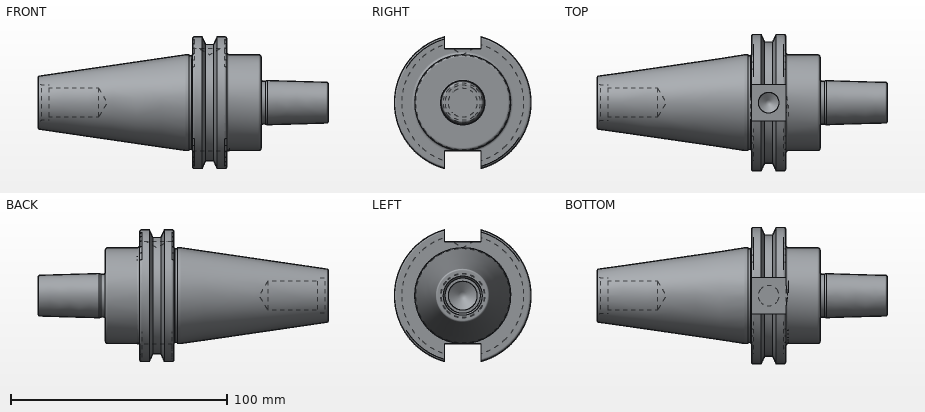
import cadquery as cq
import math


gauge_radius = 44.45 / 2
shank_length = 68.25
shank_taper = 7 / 24
shank_end_radius = gauge_radius - shank_length * shank_taper / 2
shank_end_round = 0.8

gauge_land_length = 1.6
relief_radius = 43.6 / 2
relief_round = 0.5

flange_radius = 63.37 / 2
flange_start = 3.18
flange_end = 19.05
flange_center = (flange_start + flange_end) / 2
flange_round = 1.0

groove_root_radius = 56.4 / 2
groove_root_width = 3.7
groove_mouth_width = 7.0

body_radius = gauge_radius
body_end = 35
body_fillet = 1.2
body_round = 1.2

overall_length = 134.29
nose_end = overall_length - shank_length
neck_radius = 20 / 2
neck_fillet = 0.7
neck_end = body_end + 1.9
nose_start = body_end + 2.8
nose_large_radius = 20.6 / 2
nose_small_radius = 18.95 / 2
nose_round = 0.9

slot_width = 16.75
slot_end = flange_end + body_fillet
upper_slot_floor = 25.0
lower_slot_floor = 22.3

drill_point_angle = 118
dimple_radius = 9.53 / 2
countersink_radius = 18.1 / 2
countersink_depth = 1.6
pilot_radius = 16.3 / 2
pilot_depth = 5
thread_hole_radius = 13.39 / 2
thread_hole_depth = 28


def drill_point_length(radius):
    """Axial length of the conical bottom left by a drill."""
    return radius / math.tan(math.radians(drill_point_angle / 2))


def revolve_about_x(profile):
    """Close an (X, radius) profile and turn it into a solid about the X axis."""
    return profile.close().revolve(360, (0, 0, 0), (1, 0, 0))


def make_body():
    profile = (
        cq.Workplane("XZ")
        .moveTo(-shank_length, 0)
        .lineTo(-shank_length, shank_end_radius)
        .lineTo(0, gauge_radius)
        .lineTo(gauge_land_length, gauge_radius)
        .lineTo(gauge_land_length, relief_radius)
        .lineTo(flange_start, relief_radius)
        .lineTo(flange_start, flange_radius)
        .lineTo(flange_center - groove_mouth_width / 2, flange_radius)
        .lineTo(flange_center - groove_root_width / 2, groove_root_radius)
        .lineTo(flange_center + groove_root_width / 2, groove_root_radius)
        .lineTo(flange_center + groove_mouth_width / 2, flange_radius)
        .lineTo(flange_end, flange_radius)
        .lineTo(flange_end, body_radius)
        .lineTo(body_end, body_radius)
        .lineTo(body_end, neck_radius)
        .lineTo(neck_end, neck_radius)
        .lineTo(nose_start, nose_large_radius)
        .lineTo(nose_end, nose_small_radius)
        .lineTo(nose_end, 0)
    )
    return revolve_about_x(profile)


def round_edge(solid, x, radius, size):
    """Fillet the circular edge of the given radius that lies at the given X."""
    tolerance = 0.01
    near_plane = cq.selectors.BoxSelector(
        (x - tolerance, -radius - tolerance, -radius - tolerance),
        (x + tolerance, radius + tolerance, radius + tolerance),
        boundingbox=True,
    )
    candidates = solid.edges(near_plane).edges("%CIRCLE")
    return candidates.edges(cq.selectors.RadiusNthSelector(-1)).fillet(size)


def make_draw_bolt_bore():
    mouth = -shank_length
    drill_end = mouth + thread_hole_depth
    profile = (
        cq.Workplane("XZ")
        .moveTo(mouth, 0)
        .lineTo(mouth, countersink_radius)
        .lineTo(mouth + countersink_depth, pilot_radius)
        .lineTo(mouth + pilot_depth, pilot_radius)
        .lineTo(mouth + pilot_depth, thread_hole_radius)
        .lineTo(drill_end, thread_hole_radius)
        .lineTo(drill_end + drill_point_length(thread_hole_radius), 0)
    )
    return revolve_about_x(profile)


def make_drive_slot(floor, side):
    """Slot across the flange and its front fillet; side is +1 for +Z and -1 for -Z."""
    height = flange_radius
    length = slot_end - flange_start
    slot = cq.Workplane("XY").box(length, slot_width, height)
    return slot.translate((flange_start + length / 2, 0, side * (floor + height / 2)))


def make_dimple():
    """Conical dimple in the floor of the upper slot."""
    tip = upper_slot_floor - drill_point_length(dimple_radius)
    profile = (
        cq.Workplane("XZ")
        .moveTo(0, upper_slot_floor)
        .lineTo(dimple_radius, upper_slot_floor)
        .lineTo(0, tip)
        .close()
    )
    return profile.revolve(360, (0, 0, 0), (0, 1, 0)).translate((flange_center, 0, 0))


rounded_edges = [
    (-shank_length, shank_end_radius, shank_end_round),
    (flange_start, relief_radius, relief_round),
    (flange_start, flange_radius, flange_round),
    (flange_end, flange_radius, flange_round),
    (flange_end, body_radius, body_fillet),
    (body_end, body_radius, body_round),
    (body_end, neck_radius, neck_fillet),
    (nose_end, nose_small_radius, nose_round),
]

result = make_body()
for edge_x, edge_radius, round_size in rounded_edges:
    result = round_edge(result, edge_x, edge_radius, round_size)

result = result.cut(make_draw_bolt_bore())
result = result.cut(make_drive_slot(upper_slot_floor, 1))
result = result.cut(make_drive_slot(lower_slot_floor, -1))
result = result.cut(make_dimple())